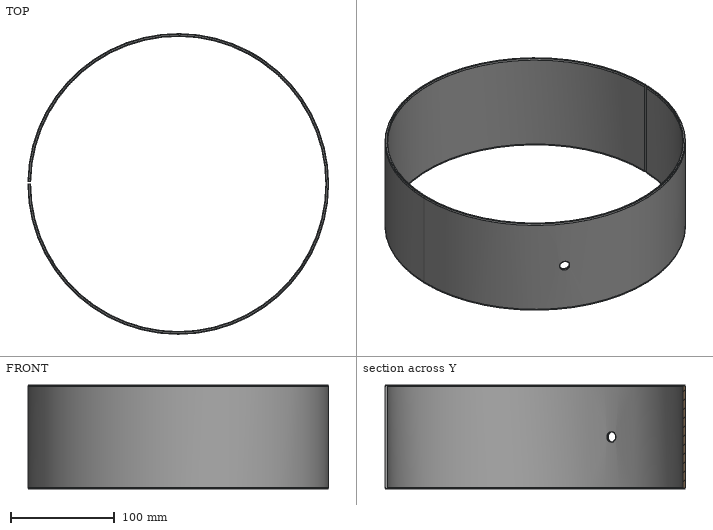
import cadquery as cq
import math

outer_diameter = 290.0
height = 100.0
wall = 2.5
bevel_height = 1.5
bevel_depth = 0.5
gap_width = 2.3
hole_diameter = 10.0
hole_angle = 59.0

outer_radius = outer_diameter / 2
inner_radius = outer_radius - wall


def make_band():
    """Thin ring whose wall tapers from both sides at its top and bottom."""
    rim_radius = outer_radius - bevel_depth
    bore_rim_radius = inner_radius + bevel_depth
    section = [
        (inner_radius, bevel_height),
        (bore_rim_radius, 0),
        (rim_radius, 0),
        (outer_radius, bevel_height),
        (outer_radius, height - bevel_height),
        (rim_radius, height),
        (bore_rim_radius, height),
        (inner_radius, height - bevel_height),
    ]
    return cq.Workplane("XZ").polyline(section).close().revolve(360, (0, 0, 0), (0, 1, 0))


def make_split():
    """Full-height cutter that opens the ring, with one face on the XZ plane."""
    return cq.Workplane("XY").box(
        outer_radius, gap_width, height, centered=(False, False, False)
    ).translate((-outer_radius, 0, 0))


def make_hole():
    """Radial cutter through one side of the wall at mid height."""
    angle = math.radians(hole_angle)
    outward = cq.Vector(math.cos(angle), math.sin(angle), 0)
    centre = cq.Vector(0, 0, height / 2)
    return cq.Solid.makeCylinder(hole_diameter / 2, outer_radius, centre, outward)


result = make_band().cut(make_split()).cut(make_hole())